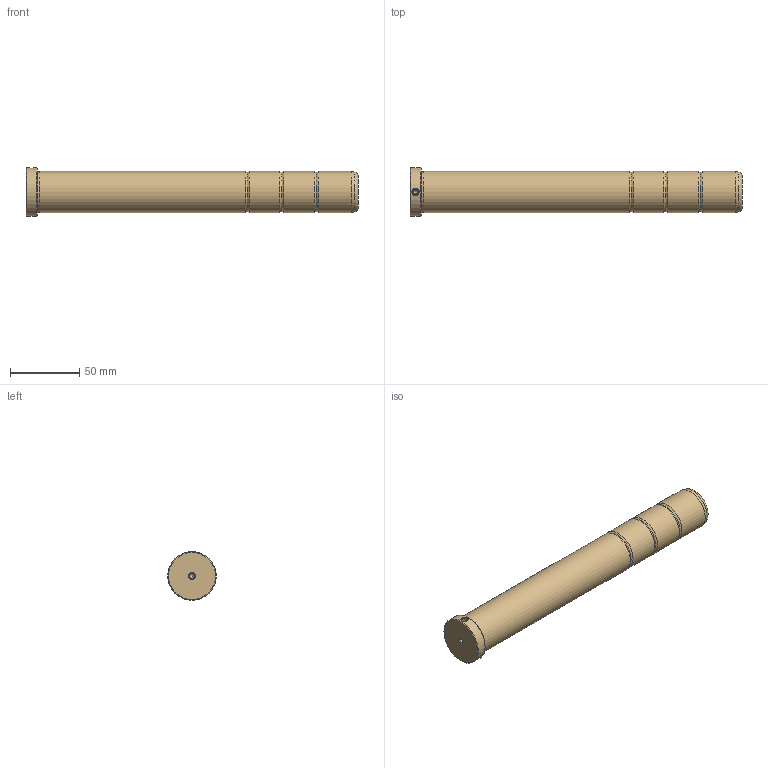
import cadquery as cq
import math

length = 240.0
pin_radius = 15.0
head_radius = 17.5
head_length = 8.0
head_front_chamfer = 0.5
head_back_chamfer = 0.5

relief_width = 1.6
relief_depth = 0.3

groove_width = 2.8
groove_depth = 0.7
first_groove = 159.9
groove_pitch = 25.0
groove_count = 3

lead_in_length = 5.0
taper_length = 2.5
taper_drop = 0.6
nose_radius = lead_in_length - taper_length

center_hole_diameter = 3.3
center_mouth_diameter = 5.0
center_hole_depth = 10.0

rim_mouth_diameter = 5.4
rim_upper_diameter = 4.2
rim_lower_diameter = 2.6
rim_upper_depth = 6.0
rim_hole_depth = 10.0

drill_half_angle = 59.0
countersink_half_angle = 45.0


def make_body():
    """Revolve the plain headed pin about the X axis."""
    relief_radius = pin_radius - relief_depth
    relief_end = head_length + relief_width
    taper_start = length - lead_in_length
    nose_start = taper_start + taper_length
    nose_rim = pin_radius - taper_drop
    nose_diagonal = nose_radius * math.sqrt(0.5)
    profile = (
        cq.Workplane("XY")
        .moveTo(0, 0)
        .lineTo(0, head_radius - head_front_chamfer)
        .lineTo(head_front_chamfer, head_radius)
        .lineTo(head_length - head_back_chamfer, head_radius)
        .lineTo(head_length, head_radius - head_back_chamfer)
        .lineTo(head_length, relief_radius)
        .lineTo(relief_end, relief_radius)
        .lineTo(relief_end, pin_radius)
        .lineTo(taper_start, pin_radius)
        .lineTo(nose_start, nose_rim)
        .threePointArc(
            (nose_start + nose_diagonal, nose_rim - nose_radius + nose_diagonal),
            (length, nose_rim - nose_radius),
        )
        .lineTo(length, 0)
        .close()
    )
    return profile.revolve(360, (0, 0, 0), (1, 0, 0))


def make_groove(center_x):
    """Ring with a triangular section that cuts one oil groove."""
    half_width = groove_width / 2
    section = [
        (center_x - half_width, pin_radius),
        (center_x, pin_radius - groove_depth),
        (center_x + half_width, pin_radius),
    ]
    return cq.Workplane("XY").polyline(section).close().revolve(360, (0, 0, 0), (1, 0, 0))


def cone_height(wide_diameter, narrow_diameter, half_angle):
    """Axial length of a cone between two diameters."""
    return (wide_diameter - narrow_diameter) / 2 / math.tan(math.radians(half_angle))


def make_center_hole():
    """Cutter for the countersunk centre hole, along +X from the head face."""
    mouth_radius = center_mouth_diameter / 2
    radius = center_hole_diameter / 2
    mouth_depth = cone_height(center_mouth_diameter, center_hole_diameter, countersink_half_angle)
    tip = center_hole_depth + cone_height(center_hole_diameter, 0, drill_half_angle)
    section = [
        (0, 0),
        (0, mouth_radius),
        (mouth_depth, radius),
        (center_hole_depth, radius),
        (tip, 0),
    ]
    return cq.Workplane("XY").polyline(section).close().revolve(360, (0, 0, 0), (1, 0, 0))


def make_rim_hole():
    """Cutter for the stepped hole, straight down from the top of the head rim."""
    mouth_radius = rim_mouth_diameter / 2
    upper_radius = rim_upper_diameter / 2
    lower_radius = rim_lower_diameter / 2
    mouth_depth = cone_height(rim_mouth_diameter, rim_upper_diameter, countersink_half_angle)
    step_depth = rim_upper_depth + cone_height(rim_upper_diameter, rim_lower_diameter, drill_half_angle)
    tip = rim_hole_depth + cone_height(rim_lower_diameter, 0, drill_half_angle)
    section = [
        (0, 0),
        (mouth_radius, 0),
        (upper_radius, -mouth_depth),
        (upper_radius, -rim_upper_depth),
        (lower_radius, -step_depth),
        (lower_radius, -rim_hole_depth),
        (0, -tip),
    ]
    plane = cq.Workplane("XZ", origin=(head_length / 2, 0, head_radius))
    return plane.polyline(section).close().revolve(360, (0, 0, 0), (0, 1, 0))


result = make_body()
for index in range(groove_count):
    result = result.cut(make_groove(first_groove + index * groove_pitch))
result = result.cut(make_center_hole())
result = result.cut(make_rim_hole())